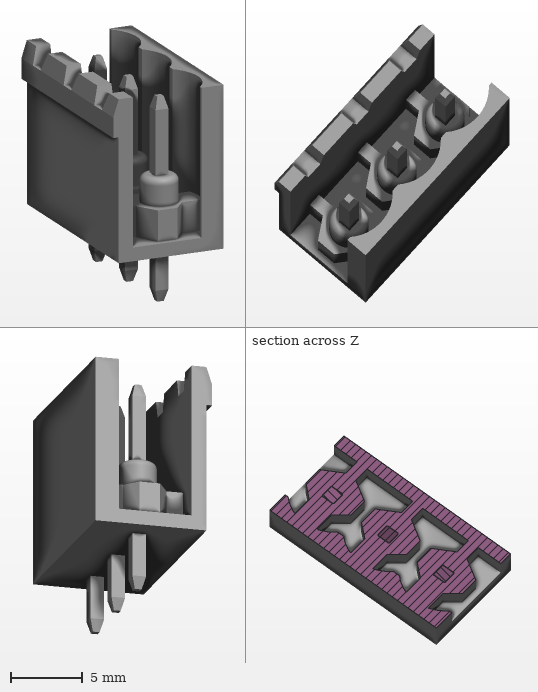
import cadquery as cq


pin_count = 3
housing_length = 15.23
pitch = housing_length / pin_count
pin_positions = [(i - (pin_count - 1) / 2) * pitch for i in range(pin_count)]

housing_height = 12.0
floor_thickness = 1.0
back_face_y = 3.8
back_wall_inner_y = 2.1
front_wall_inner_y = -3.2
front_wall_outer_y = -4.29
latch_projection = 0.42
latch_face_y = front_wall_outer_y - latch_projection
latch_bottom_z = 9.22
latch_bevel_height = 1.28
latch_bevel_z = housing_height - latch_bevel_height

bay_width = 4.51
bay_depth = 0.91

notch_top_width = 2.0
notch_bottom_width = 1.25

pedestal_height = 2.29
pedestal_top_z = floor_thickness + pedestal_height
pedestal_width = 4.13
back_neck_width = 2.05
back_neck_y = 1.33
back_shoulder_y = 0.45
front_shoulder_y = -1.05
front_neck_width = 0.96
front_neck_y = -2.0

collar_diameter = 2.75
collar_height = 2.0
collar_fillet = 0.5

total_height = 16.0
pin_size = 1.0
pin_tip_size = 0.5
pin_tip_length = 0.9
pin_top_z = 11.0
pin_bottom_z = housing_height - total_height


def make_shell():
    """U-shaped trough with a latch lip along the top of the front wall."""
    profile = [
        (back_face_y, 0),
        (back_face_y, housing_height),
        (back_wall_inner_y, housing_height),
        (back_wall_inner_y, floor_thickness),
        (front_wall_inner_y, floor_thickness),
        (front_wall_inner_y, housing_height),
        (front_wall_outer_y, housing_height),
        (latch_face_y, latch_bevel_z),
        (latch_face_y, latch_bottom_z),
        (front_wall_outer_y, latch_bottom_z),
        (front_wall_outer_y, 0),
    ]
    return cq.Workplane("YZ").polyline(profile).close().extrude(housing_length / 2, both=True)


def make_bay(x):
    """Cutter for the curved bay that the back wall has behind a pin."""
    return (
        cq.Workplane("XY", origin=(x, back_wall_inner_y, floor_thickness))
        .moveTo(-bay_width / 2, 0)
        .threePointArc((0, bay_depth), (bay_width / 2, 0))
        .close()
        .extrude(housing_height - floor_thickness)
    )


def make_notch(x):
    """Cutter for the tapered notch through the front wall in front of a pin."""
    return (
        cq.Workplane("XZ", origin=(x, front_wall_inner_y, 0))
        .polyline([
            (-notch_top_width / 2, housing_height),
            (notch_top_width / 2, housing_height),
            (notch_bottom_width / 2, latch_bevel_z),
            (-notch_bottom_width / 2, latch_bevel_z),
        ])
        .close()
        .extrude(front_wall_inner_y - latch_face_y)
    )


def make_pedestal(x):
    """Raised block around a pin, with necks that run into the back and front walls."""
    back_end_y = back_wall_inner_y + bay_depth
    right_side = [
        (back_neck_width / 2, back_end_y),
        (back_neck_width / 2, back_neck_y),
        (pedestal_width / 2, back_shoulder_y),
        (pedestal_width / 2, front_shoulder_y),
        (front_neck_width / 2, front_neck_y),
        (front_neck_width / 2, front_wall_inner_y),
    ]
    left_side = [(-half_width, y) for half_width, y in reversed(right_side)]
    return (
        cq.Workplane("XY", origin=(x, 0, floor_thickness))
        .polyline(right_side + left_side)
        .close()
        .extrude(pedestal_height)
    )


def make_collar(x):
    """Round collar with a rounded top edge, standing on a pedestal."""
    return (
        cq.Workplane("XY", origin=(x, 0, pedestal_top_z))
        .circle(collar_diameter / 2)
        .extrude(collar_height)
        .faces(">Z")
        .edges()
        .fillet(collar_fillet)
    )


def make_pin_hole(x):
    """Cutter for the square hole that holds a pin."""
    return (
        cq.Workplane("XY", origin=(x, 0, 0))
        .rect(pin_size, pin_size)
        .extrude(pedestal_top_z + collar_height)
    )


def make_housing():
    """Complete moulded housing with a bay, notch, pedestal, collar and hole for each pin."""
    body = make_shell()
    for x in pin_positions:
        body = body.cut(make_bay(x)).cut(make_notch(x))
        body = body.union(make_pedestal(x)).union(make_collar(x))
        body = body.cut(make_pin_hole(x))
    return body


def make_pin_tip(x, shank_end_z, tip_end_z):
    """Square tip that tapers from the end of the shank to the end of the pin."""
    return (
        cq.Workplane("XY", origin=(x, 0, shank_end_z))
        .rect(pin_size, pin_size)
        .workplane(offset=tip_end_z - shank_end_z)
        .rect(pin_tip_size, pin_tip_size)
        .loft(ruled=True)
    )


def make_pin(x):
    """Straight square contact pin with a tapered tip at each end."""
    shank_bottom_z = pin_bottom_z + pin_tip_length
    shank_top_z = pin_top_z - pin_tip_length
    shank = (
        cq.Workplane("XY", origin=(x, 0, shank_bottom_z))
        .rect(pin_size, pin_size)
        .extrude(shank_top_z - shank_bottom_z)
    )
    top_tip = make_pin_tip(x, shank_top_z, pin_top_z)
    bottom_tip = make_pin_tip(x, shank_bottom_z, pin_bottom_z)
    return shank.union(top_tip).union(bottom_tip)


housing = make_housing()
pins = [make_pin(x) for x in pin_positions]

result = cq.Compound.makeCompound([housing.val(), *[pin.val() for pin in pins]])